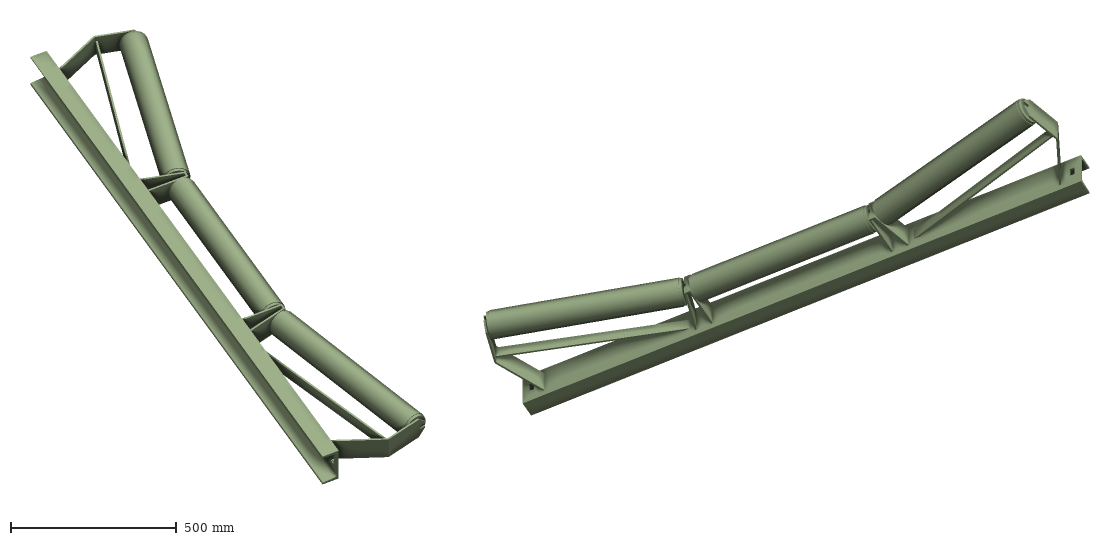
import cadquery as cq
import math


overall_width = 1921
overall_depth = 373.53

channel_length = 1905
channel_height = 120
flange_width = 55
web_thickness = 6
flange_root_thickness = 11
flange_tip_thickness = 7
flange_root_fillet = 9
flange_tip_fillet = 3.5
mount_slot_width = 18
mount_slot_height = 30
mount_slot_x = 922

trough_angle = 15
shell_diameter = 89
shell_length = 586
cap_diameter = 84
cap_length = 9
shaft_diameter = 24
shaft_flat_width = 14
center_roller_y = 117
wing_shell_start_x = 345.5

bracket_width = 76
center_end_gap = 11
wing_end_gap = 13.5
inner_bracket_height = 145
plate_thickness = 6
outer_foot_angle = 25
outer_bend_radius = 14
outer_tip_height = 30
outer_tip_chamfer = 25

strut_angle = 17
strut_thickness = 6
strut_width = 40


def direction(angle):
    """Unit vector in the XY plane, angle in degrees from +X."""
    turn = math.radians(angle)
    return cq.Vector(math.cos(turn), math.sin(turn), 0)


shell_radius = shell_diameter / 2
half_shell = shell_length / 2
wing_axis = direction(trough_angle)
wing_up = direction(trough_angle + 90)
strut_axis = direction(strut_angle)
foot_axis = direction(90 - outer_foot_angle)
foot_out = direction(-outer_foot_angle)

center_roller_middle = cq.Vector(0, center_roller_y, 0)

wing_rim_y = overall_depth - flange_width
wing_roller_middle = cq.Vector(
    wing_shell_start_x + half_shell * wing_axis.x,
    wing_rim_y - half_shell * wing_axis.y - shell_radius * wing_up.y,
    0,
)

center_face = half_shell + center_end_gap
wing_face = half_shell + wing_end_gap


def on_wing(along, above):
    """Point given along and square to the wing roller's axis."""
    return wing_roller_middle + wing_axis * along + wing_up * above


def xy(point):
    return (point.x, point.y)


def slide_to_y(point, along, y):
    """Point where the line through point, running along a direction, reaches y."""
    return point + along * ((y - point.y) / along.y)


def slide_to_x(point, along, x):
    """Point where the line through point, running along a direction, reaches x."""
    return point + along * ((x - point.x) / along.x)


def plate(points, width):
    """Closed XY outline extruded evenly to both sides of Z = 0."""
    return cq.Workplane("XY").polyline(points).close().extrude(width / 2, both=True)


def mirrored_pair(body):
    """A body and its separate mirror image across X = 0."""
    return [body, body.mirror("YZ")]


def corner_edges(body, y, z):
    """The pair of lengthwise edges at (y, z) and (y, -z)."""
    reach = 0.5
    lower, upper = [
        cq.selectors.BoxSelector(
            (-channel_length, y - reach, edge_z - reach),
            (channel_length, y + reach, edge_z + reach),
        )
        for edge_z in (-z, z)
    ]
    return body.edges("|X").edges(lower + upper)


def make_channel():
    half_height = channel_height / 2
    root_z = half_height - flange_root_thickness
    tip_z = half_height - flange_tip_thickness
    channel = (
        cq.Workplane("YZ", origin=(-channel_length / 2, 0, 0))
        .polyline([
            (0, -half_height),
            (0, half_height),
            (-flange_width, half_height),
            (-flange_width, tip_z),
            (-web_thickness, root_z),
            (-web_thickness, -root_z),
            (-flange_width, -tip_z),
            (-flange_width, -half_height),
        ])
        .close()
        .extrude(channel_length)
    )
    channel = corner_edges(channel, -web_thickness, root_z).fillet(flange_root_fillet)
    channel = corner_edges(channel, -flange_width, tip_z).fillet(flange_tip_fillet)
    mount_slots = (
        cq.Workplane("XZ")
        .pushPoints([(-mount_slot_x, 0), (mount_slot_x, 0)])
        .rect(mount_slot_width, mount_slot_height)
        .extrude(web_thickness)
    )
    return channel.cut(mount_slots)


def centered_bar(diameter, length):
    """Round bar along X, centred on the origin."""
    return cq.Workplane("YZ", origin=(-length / 2, 0, 0)).circle(diameter / 2).extrude(length)


def shaft(length):
    """Round shaft along X with flats facing +Z and -Z."""
    flats = cq.Workplane("XY").box(length, shaft_diameter, shaft_flat_width)
    return centered_bar(shaft_diameter, length).intersect(flats)


def make_roller(middle, angle, shaft_length):
    roller = (
        centered_bar(shell_diameter, shell_length)
        .union(centered_bar(cap_diameter, shell_length + 2 * cap_length))
        .union(shaft(shaft_length))
    )
    return roller.rotate((0, 0, 0), (0, 0, 1), angle).translate(middle)


def shaft_slot(middle, angle, shaft_length):
    """Cutter that opens the brackets upward from the shaft's seat."""
    opening = cq.Workplane("XY").box(
        shaft_length, overall_depth, shaft_flat_width, centered=(True, False, True)
    )
    cutter = opening.union(shaft(shaft_length))
    return cutter.rotate((0, 0, 0), (0, 0, 1), angle).translate(middle)


center_shaft_length = 2 * (center_face + plate_thickness)
wing_shaft_length = 2 * (wing_face + plate_thickness)
center_slot = shaft_slot(center_roller_middle, 0, center_shaft_length)
wing_slot = shaft_slot(wing_roller_middle, trough_angle, wing_shaft_length)


def make_inner_bracket():
    bridge_underside = inner_bracket_height - plate_thickness
    center_side = cq.Vector(center_face, 0, 0)
    center_back = cq.Vector(center_face + plate_thickness, 0, 0)
    wing_side = on_wing(-wing_face, 0)
    wing_back = on_wing(-wing_face - plate_thickness, 0)
    bracket = plate(
        [
            xy(center_side),
            (center_side.x, inner_bracket_height),
            xy(slide_to_y(wing_side, wing_up, inner_bracket_height)),
            xy(slide_to_y(wing_side, wing_up, 0)),
            xy(slide_to_y(wing_back, wing_up, 0)),
            xy(slide_to_y(wing_back, wing_up, bridge_underside)),
            (center_back.x, bridge_underside),
            xy(center_back),
        ],
        bracket_width,
    )
    return bracket.cut(center_slot).cut(wing_slot)


bend_inner_radius = outer_bend_radius - plate_thickness
bend_center = slide_to_x(
    on_wing(wing_face + plate_thickness - outer_bend_radius, 0),
    wing_up,
    overall_width / 2 - outer_bend_radius,
)


def make_outer_bracket():
    middle_out = direction((trough_angle - outer_foot_angle) / 2)
    foot_outer = bend_center + foot_out * outer_bend_radius
    foot_inner = bend_center + foot_out * bend_inner_radius
    bracket = (
        cq.Workplane("XY")
        .moveTo(*xy(on_wing(wing_face, outer_tip_height)))
        .lineTo(*xy(on_wing(wing_face + plate_thickness, outer_tip_height)))
        .lineTo(*xy(bend_center + wing_axis * outer_bend_radius))
        .threePointArc(xy(bend_center + middle_out * outer_bend_radius), xy(foot_outer))
        .lineTo(*xy(slide_to_y(foot_outer, foot_axis, 0)))
        .lineTo(*xy(slide_to_y(foot_inner, foot_axis, 0)))
        .lineTo(*xy(foot_inner))
        .threePointArc(
            xy(bend_center + middle_out * bend_inner_radius),
            xy(bend_center + wing_axis * bend_inner_radius),
        )
        .close()
        .extrude(bracket_width / 2, both=True)
    )
    tip_plane = cq.Plane(on_wing(wing_face, outer_tip_height), wing_up, wing_axis)
    half_width = bracket_width / 2
    for side in (1, -1):
        tip_corner = (
            cq.Workplane(tip_plane)
            .polyline([
                (0, side * half_width),
                (-outer_tip_chamfer, side * half_width),
                (0, side * (half_width - outer_tip_chamfer)),
            ])
            .close()
            .extrude(plate_thickness)
        )
        bracket = bracket.cut(tip_corner)
    return bracket.cut(wing_slot)


def make_strut():
    end_height = strut_thickness / math.cos(math.radians(strut_angle - trough_angle))
    lower_end = bend_center + wing_axis * bend_inner_radius
    upper_end = lower_end + wing_up * end_height
    return plate(
        [
            xy(lower_end),
            xy(upper_end),
            xy(slide_to_y(upper_end, strut_axis, 0)),
            xy(slide_to_y(lower_end, strut_axis, 0)),
        ],
        strut_width,
    )


channel = make_channel()
center_roller = make_roller(center_roller_middle, 0, center_shaft_length)
wing_rollers = mirrored_pair(make_roller(wing_roller_middle, trough_angle, wing_shaft_length))
inner_brackets = mirrored_pair(make_inner_bracket())
outer_brackets = mirrored_pair(make_outer_bracket())
struts = mirrored_pair(make_strut())

bodies = [channel, center_roller, *wing_rollers, *inner_brackets, *outer_brackets, *struts]
result = cq.Compound.makeCompound([body.val() for body in bodies])